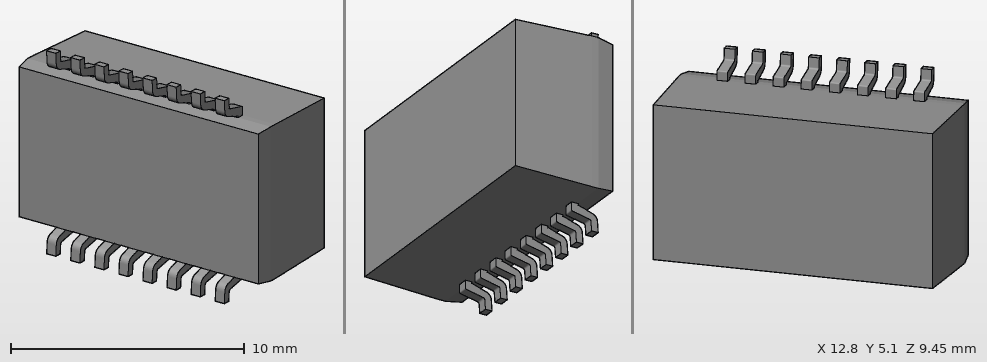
import cadquery as cq

body_length = 12.8
body_height = 7.18
body_front = 0.24
band_front = 1.0
band_back = 1.33
body_back = 5.1
taper_inset_x = 0.1
taper_inset_z = 0.1

leads_per_row = 8
lead_pitch = 1.27
lead_width = 0.49
lead_span = 9.45
lead_embed = 0.25
shoulder_z = 4.0
leg_underside_z = 3.66
heel_inner = (0.37, 4.21)
heel_outer = (0.05, 3.95)
toe_thickness = 0.33
shoulder_radius = 0.06
heel_inner_radius = 0.09
heel_outer_radius = 0.36


def tapered_block(base_y, end_y):
    """Block narrowing from the band outline at base_y to a smaller outline at end_y."""
    return (
        cq.Workplane("XZ", origin=(0, base_y, 0))
        .rect(body_length, body_height)
        .workplane(offset=base_y - end_y)
        .rect(body_length - 2 * taper_inset_x, body_height - 2 * taper_inset_z)
        .loft(ruled=True, combine=True)
    )


def make_body():
    band_depth = band_back - band_front
    band = cq.Workplane("XY").box(body_length, band_depth, body_height)
    band = band.translate((0, band_front + band_depth / 2, 0))
    front_block = tapered_block(band_front, body_front)
    back_block = tapered_block(band_back, body_back)
    return band.union(front_block).union(back_block)


def make_lead():
    """Upper lead centred on X = 0, with its root embedded in the band."""
    root_z = body_height / 2 - lead_embed
    toe_z = lead_span / 2
    shoulder = (band_back, shoulder_z)
    outline = [
        (band_back, root_z),
        shoulder,
        heel_inner,
        (toe_thickness, toe_z),
        (0, toe_z),
        heel_outer,
        (band_front, leg_underside_z),
        (band_front, root_z),
    ]
    lead = cq.Workplane("YZ").polyline(outline).close().extrude(lead_width / 2, both=True)
    bends = [
        (shoulder, shoulder_radius),
        (heel_inner, heel_inner_radius),
        (heel_outer, heel_outer_radius),
    ]
    for (bend_y, bend_z), radius in bends:
        lead = lead.edges(cq.NearestToPointSelector((0, bend_y, bend_z))).fillet(radius)
    return lead


result = make_body()
upper_lead = make_lead()
lower_lead = upper_lead.mirror("XY")
for index in range(leads_per_row):
    lead_x = (index - (leads_per_row - 1) / 2) * lead_pitch
    for lead in (upper_lead, lower_lead):
        result = result.union(lead.translate((lead_x, 0, 0)))